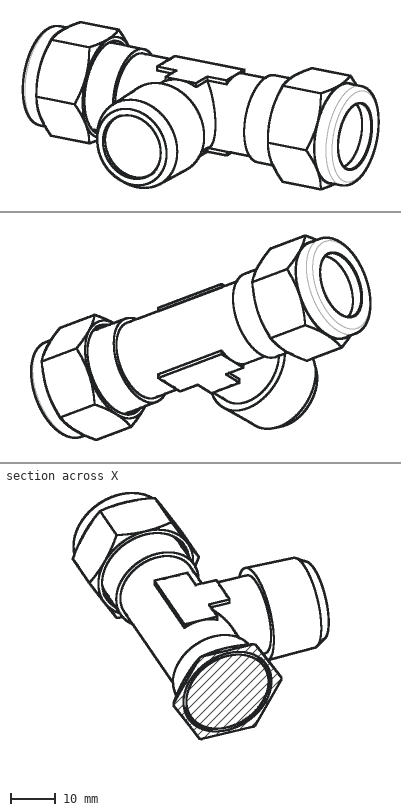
import cadquery as cq
import math

body_radius = 9.0

collar_start = 17.0
nut_start = 24.0
nut_end = 36.0
run_end = 40.0
collar_radius = 10.0
nut_across_flats = 23.0
nut_corner_radius = nut_across_flats / math.sqrt(3)
nut_chamfer_angle = 30.0
nut_recess_radius = 10.6
nut_recess_depth = 2.0
ring_radius = 11.4
ring_fillet = 1.0
run_bore_radius = 7.5
run_bore_chamfer = 0.15
run_bore_depth = 2.5

taper_start = 17.0
taper_end = 28.6
stub_end = 31.0
taper_large_radius = 10.7
taper_small_radius = 10.4
stub_tip_radius = 9.0
stub_bore_radius = 7.5
stub_bore_depth = 1.0

pad_half_length = 9.0
pad_half_width = 4.0


def disc(radius, start, end):
    """Cylinder along +X between two distances from the centre."""
    return cq.Workplane("YZ").workplane(offset=start).circle(radius).extrude(end - start)


def hex_nut():
    """Hex nut with corners on +Y and -Y, chamfered both ends, recessed to clear the collar."""
    prism = (
        cq.Workplane("YZ")
        .workplane(offset=nut_start)
        .polygon(6, 2 * nut_corner_radius)
        .extrude(nut_end - nut_start)
    )
    flat_radius = nut_across_flats / 2
    chamfer_length = (nut_corner_radius - flat_radius) * math.tan(math.radians(nut_chamfer_angle))
    chamfer_envelope = (
        cq.Workplane("XY")
        .moveTo(nut_start, 0)
        .lineTo(nut_start, flat_radius)
        .lineTo(nut_start + chamfer_length, nut_corner_radius)
        .lineTo(nut_end - chamfer_length, nut_corner_radius)
        .lineTo(nut_end, flat_radius)
        .lineTo(nut_end, 0)
        .close()
        .revolve(360, (0, 0, 0), (1, 0, 0))
    )
    recess = disc(nut_recess_radius, nut_start, nut_start + nut_recess_depth)
    return prism.intersect(chamfer_envelope).cut(recess)


def run_arm():
    """The +X half of the run with its collar, nut, end ring and blind bore."""
    ring = disc(ring_radius, nut_end, run_end).faces(">X").edges().fillet(ring_fillet)
    return (
        disc(body_radius, 0, collar_start)
        .union(disc(collar_radius, collar_start, nut_start + nut_recess_depth))
        .union(hex_nut())
        .union(ring)
        .cut(disc(run_bore_radius, run_end - run_bore_depth, run_end))
        .faces(">X")
        .edges(cq.selectors.RadiusNthSelector(0))
        .chamfer(run_bore_chamfer)
    )


def stub():
    """Stub turned about Y, with a shallow blind bore in its tip."""
    bore_floor = stub_end - stub_bore_depth
    return (
        cq.Workplane("XY")
        .lineTo(body_radius, 0)
        .lineTo(body_radius, -taper_start)
        .lineTo(taper_large_radius, -taper_start)
        .lineTo(taper_small_radius, -taper_end)
        .lineTo(stub_tip_radius, -stub_end)
        .lineTo(stub_bore_radius, -stub_end)
        .lineTo(stub_bore_radius, -bore_floor)
        .lineTo(0, -bore_floor)
        .close()
        .revolve(360, (0, 0, 0), (0, 1, 0))
    )


def pads():
    """T-shaped prism through the body whose two ends are the flat pads."""
    height = 2 * body_radius
    bar = cq.Workplane("XY").box(2 * pad_half_length, 2 * pad_half_width, height)
    leg = cq.Workplane("XY").box(2 * pad_half_width, pad_half_length, height)
    return bar.union(leg.translate((0, -pad_half_length / 2, 0)))


right_arm = run_arm()
left_arm = right_arm.mirror("YZ")
result = right_arm.union(left_arm).union(stub()).union(pads())